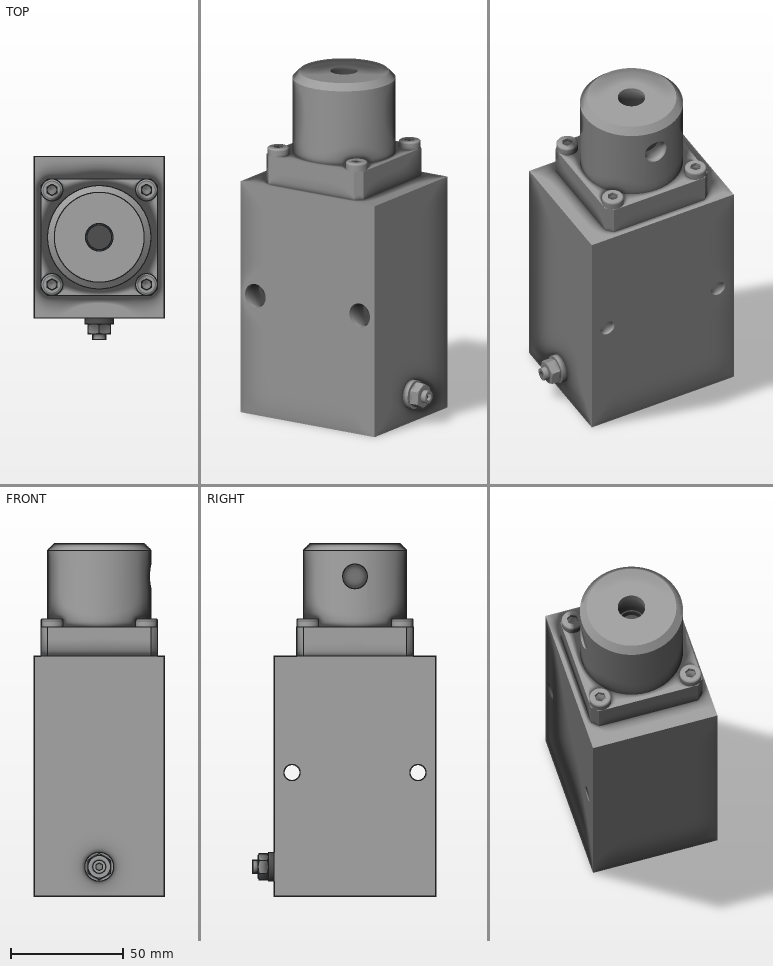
import cadquery as cq
import math

block_width = 58.0
block_depth = 72.0
block_height = 106.9
mount_hole_dia = 7.0
mount_bore_dia = 11.0
mount_bore_depth = mount_bore_dia
mount_hole_spacing = 56.0
mount_hole_z = 55.1

total_height = 157.0
flange_side = 52.0
flange_height = 13.0
flange_corner = 3.0
cap_dia = 46.0
cap_chamfer = 3.0
cap_height = total_height - block_height - flange_height
port_mouth_dia = 12.2
port_core_dia = 11.0
port_mouth_depth = 12.5
port_depth = 15.7
side_hole_dia = 11.0
side_hole_depth = 7.8
side_hole_z = 142.4

screw_dia = 9.7
screw_height = 3.6
screw_edge_radius = 1.0
screw_socket_flats = 4.4
screw_socket_depth = 1.5
screw_cone_depth = 1.3
screw_spacing = 42.0

fitting_z = 13.2
collar_dia = 12.9
collar_length = 2.5
nut_flats = 10.0
nut_length = 4.5
nut_bevel_angle = 30.0
stem_dia = 5.8
stem_length = 2.5
stem_socket_flats = 3.0
stem_socket_depth = 1.5

flange_z = block_height + flange_height


def hexagon(plane, across_flats):
    """Hexagon with two corners on the local Y axis of the plane."""
    across_corners = across_flats / math.cos(math.pi / 6)
    return cq.Workplane(plane).transformed(rotate=(0, 0, 90)).polygon(6, across_corners)


def make_block():
    block = cq.Workplane("XY").box(block_width, block_depth, block_height, centered=(True, True, False))
    left_face = cq.Plane(origin=(-block_width / 2, 0, mount_hole_z), xDir=(0, 1, 0), normal=(1, 0, 0))
    hole_places = [(-mount_hole_spacing / 2, 0), (mount_hole_spacing / 2, 0)]
    holes = cq.Workplane(left_face).pushPoints(hole_places)
    through_holes = holes.circle(mount_hole_dia / 2).extrude(block_width)
    counterbores = holes.circle(mount_bore_dia / 2).extrude(mount_bore_depth)
    return block.cut(through_holes).cut(counterbores)


def make_bonnet():
    flange = (
        cq.Workplane("XY", origin=(0, 0, block_height))
        .rect(flange_side, flange_side)
        .extrude(flange_height)
        .edges("|Z")
        .chamfer(flange_corner)
    )
    cap = (
        cq.Workplane("XY", origin=(0, 0, flange_z))
        .circle(cap_dia / 2)
        .extrude(cap_height)
        .faces(">Z")
        .chamfer(cap_chamfer)
    )
    cap_top = cq.Workplane("XY", origin=(0, 0, total_height))
    port_mouth = cap_top.circle(port_mouth_dia / 2).extrude(-port_mouth_depth)
    port_core = cap_top.circle(port_core_dia / 2).extrude(-port_depth)
    side_hole = (
        cq.Workplane("YZ", origin=(cap_dia / 2, 0, side_hole_z))
        .circle(side_hole_dia / 2)
        .extrude(-side_hole_depth)
    )
    return flange.union(cap).cut(port_mouth).cut(port_core).cut(side_hole)


def make_screw_head(x, y):
    head = (
        cq.Workplane("XY", origin=(x, y, flange_z))
        .circle(screw_dia / 2)
        .extrude(screw_height)
        .faces(">Z")
        .edges()
        .fillet(screw_edge_radius)
    )
    top_plane = cq.Plane(origin=(x, y, flange_z + screw_height))
    socket = hexagon(top_plane, screw_socket_flats).extrude(-screw_socket_depth)
    cone_base = (x, y, flange_z + screw_height - screw_socket_depth)
    cone = cq.Workplane(
        cq.Solid.makeCone(
            screw_socket_flats / 2, 0, screw_cone_depth, pnt=cq.Vector(*cone_base), dir=cq.Vector(0, 0, -1)
        )
    )
    return head.cut(socket).cut(cone)


def make_nut_bevel(plane):
    """Round blank, coned at both ends, that bevels the corners of the nut."""
    flat_radius = nut_flats / 2
    corner_radius = flat_radius / math.cos(math.pi / 6)
    bevel = (corner_radius - flat_radius) * math.tan(math.radians(nut_bevel_angle))
    blank = cq.Workplane(plane).circle(corner_radius).extrude(nut_length)
    return blank.faces("|Y").chamfer(bevel, corner_radius - flat_radius)


def make_fitting():
    """Collar, hexagon nut and socketed stem in a row along -Y."""

    def front_plane(distance):
        return cq.Plane(
            origin=(0, -block_depth / 2 - distance, fitting_z), xDir=(1, 0, 0), normal=(0, -1, 0)
        )

    nut_start = collar_length
    stem_start = nut_start + nut_length
    stem_end = stem_start + stem_length
    collar = cq.Workplane(front_plane(0)).circle(collar_dia / 2).extrude(collar_length)
    nut = hexagon(front_plane(nut_start), nut_flats).extrude(nut_length)
    nut = nut.intersect(make_nut_bevel(front_plane(nut_start)))
    stem = cq.Workplane(front_plane(stem_start)).circle(stem_dia / 2).extrude(stem_length)
    socket = hexagon(front_plane(stem_end), stem_socket_flats).extrude(-stem_socket_depth)
    return collar.union(nut).union(stem).cut(socket)


block = make_block()
bonnet = make_bonnet()
screw_heads = []
for x_side in (-1, 1):
    for y_side in (-1, 1):
        screw_heads.append(make_screw_head(x_side * screw_spacing / 2, y_side * screw_spacing / 2).val())
fitting = make_fitting()

result = cq.Compound.makeCompound([block.val(), bonnet.val(), *screw_heads, fitting.val()])